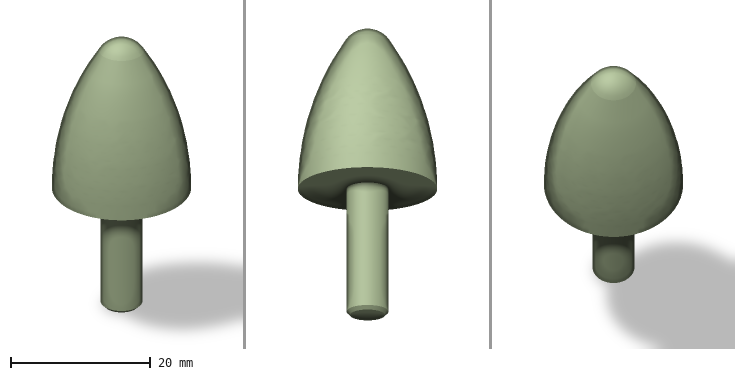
import cadquery as cq
import math

total_height = 43.0
head_diameter = 20.0
head_height = 24.0
flank_radius = 40.0
shank_diameter = 6.0
tip_chamfer = 0.5

head_radius = head_diameter / 2
shank_radius = shank_diameter / 2
shank_length = total_height - head_height

flank_offset = flank_radius - head_radius

nose_radius = (flank_radius**2 - flank_offset**2 - head_height**2) / (2 * (flank_radius - head_height))

tangent_angle = math.atan2(head_height - nose_radius, flank_offset)


def flank_point(angle):
    """Point on the flank arc, with Z = 0 at the underside of the head."""
    return (flank_radius * math.cos(angle) - flank_offset, flank_radius * math.sin(angle))


def nose_point(angle):
    """Point on the spherical nose."""
    nose_center = head_height - nose_radius
    return (nose_radius * math.cos(angle), nose_center + nose_radius * math.sin(angle))


def make_head():
    """Ogive head with a flat underside and a rounded nose."""
    nose_middle_angle = (tangent_angle + math.pi / 2) / 2
    return (
        cq.Workplane("XZ")
        .lineTo(head_radius, 0)
        .threePointArc(flank_point(tangent_angle / 2), flank_point(tangent_angle))
        .threePointArc(nose_point(nose_middle_angle), (0, head_height))
        .close()
        .revolve(360, (0, 0), (0, 1))
    )


def make_shank():
    """Cylindrical shank below the head, chamfered at its free end."""
    return (
        cq.Workplane("XY")
        .circle(shank_radius)
        .extrude(-shank_length)
        .faces("<Z")
        .chamfer(tip_chamfer)
    )


result = make_head().union(make_shank())